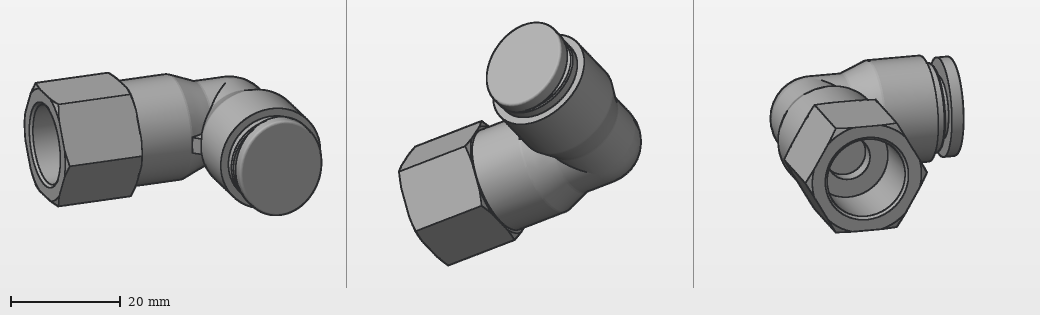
import cadquery as cq
import math


bend_radius = 7.8
socket_radius = 19.5 / 2
cone_start = 6.0
cone_end = 11.0
leg_length = 21.0
cone_blend = 1.0
rim_margin = 0.05
web_thickness = 3.0

hex_across_flats = 20.0
hex_corner_radius = hex_across_flats / math.sqrt(3)
overall_y = 45.75
nut_end = overall_y - socket_radius
nut_length = nut_end - leg_length
nut_chamfer_start_radius = 10.35
nut_chamfer_angle = 20
bore_diameter = 14.8
bore_depth = 12.0
bore_chamfer = 0.5
passage_diameter = 8.0

ring_diameter = 16.5
ring_width = 1.85
ring_edge_chamfer = 0.27
neck_diameter = 11.7
neck_length = 1.25
overall_x = 37.95
collar_end = overall_x - hex_corner_radius
flange_width_y = 16.0
flange_height_z = 18.5
flange_edge_radius = 0.45
neck_start = leg_length + ring_width
flange_start = neck_start + neck_length


def cylinder_along_x(start, end, diameter):
    """Solid cylinder on the X axis between two X positions."""
    return cq.Workplane("YZ", origin=(start, 0, 0)).circle(diameter / 2).extrude(end - start)


def build_leg():
    """Leg along +X: bend cylinder, blended cone and wide socket."""
    leg = (
        cq.Workplane("XY")
        .polyline(
            [
                (0, 0),
                (0, bend_radius),
                (cone_start, bend_radius),
                (cone_end, socket_radius),
                (leg_length, socket_radius),
                (leg_length, 0),
            ]
        )
        .close()
        .revolve(360, (0, 0, 0), (1, 0, 0))
    )
    for x, radius in ((cone_start, bend_radius), (cone_end, socket_radius)):
        cone_rim = cq.selectors.BoxSelector(
            (x - rim_margin, -radius - rim_margin, -radius - rim_margin),
            (x + rim_margin, radius + rim_margin, radius + rim_margin),
            boundingbox=True,
        )
        leg = leg.edges(cone_rim).fillet(cone_blend)
    return leg


def build_housing():
    """Two equal legs joined by a ball at the bend and a thin web in the inner corner."""
    leg_x = build_leg()
    leg_y = leg_x.rotate((0, 0, 0), (0, 0, 1), -90)
    ball = cq.Workplane("XY").sphere(bend_radius)
    web = (
        cq.Workplane("XY")
        .polyline(
            [
                (0, 0),
                (cone_end, -socket_radius),
                (socket_radius, -cone_end),
            ]
        )
        .close()
        .extrude(web_thickness / 2, both=True)
    )
    return leg_x.union(leg_y).union(ball).union(web)


def build_nut():
    """Hexagon with both ends chamfered, a blind bore and a narrower passage through its floor."""
    hexagon = (
        cq.Workplane("XZ", origin=(0, -leg_length, 0))
        .polygon(6, 2 * hex_corner_radius)
        .extrude(nut_length)
    )
    corner_width = hex_corner_radius - nut_chamfer_start_radius
    chamfer_drop = corner_width * math.tan(math.radians(nut_chamfer_angle))
    envelope = (
        cq.Workplane("XY")
        .polyline(
            [
                (0, -leg_length),
                (nut_chamfer_start_radius, -leg_length),
                (hex_corner_radius, -leg_length - chamfer_drop),
                (hex_corner_radius, -nut_end + chamfer_drop),
                (nut_chamfer_start_radius, -nut_end),
                (0, -nut_end),
            ]
        )
        .close()
        .revolve(360, (0, 0, 0), (0, 1, 0))
    )
    return (
        hexagon.intersect(envelope)
        .faces("<Y")
        .workplane(origin=(0, -nut_end, 0))
        .cboreHole(passage_diameter, bore_diameter, bore_depth)
        .faces("<Y")
        .edges("%CIRCLE")
        .edges(cq.selectors.RadiusNthSelector(0))
        .chamfer(bore_chamfer)
    )


def build_ring():
    """Retaining ring seated on the end of the socket."""
    ring_blank = cylinder_along_x(leg_length, neck_start, ring_diameter)
    return ring_blank.faces(">X").edges().chamfer(ring_edge_chamfer)


def build_collar():
    """Release collar: a round neck carrying an elliptical flange with a rounded outer edge."""
    neck = cylinder_along_x(neck_start, flange_start, neck_diameter)
    flange = (
        cq.Workplane("YZ", origin=(flange_start, 0, 0))
        .ellipse(flange_width_y / 2, flange_height_z / 2)
        .extrude(collar_end - flange_start)
        .faces(">X")
        .edges()
        .fillet(flange_edge_radius)
    )
    return neck.union(flange)


housing = build_housing()
nut = build_nut()
ring = build_ring()
collar = build_collar()

result = cq.Compound.makeCompound([housing.val(), nut.val(), ring.val(), collar.val()])